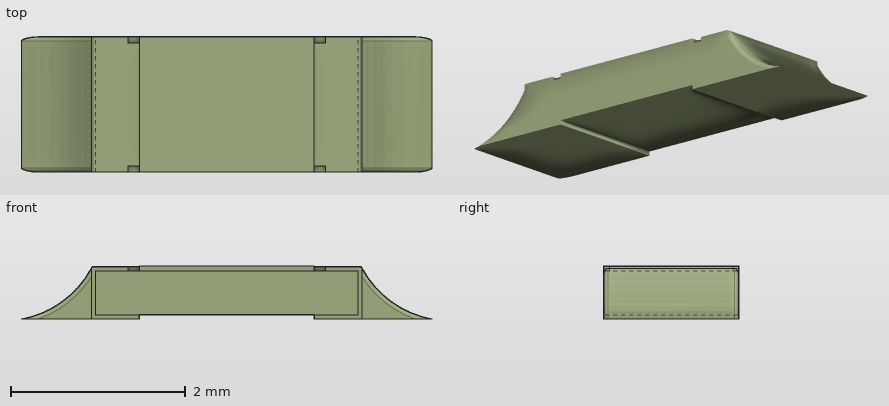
import cadquery as cq

chip_length = 3.1
chip_width = 1.55
chip_height = 0.6
plating = 0.05
terminal_length = 0.55
terminal_edge_radius = 0.02
notch_length = 0.13
notch_depth = 0.07

coating_rise = 0.01

solder_length = 0.8
solder_sag = 0.112
solder_edge_radius = 0.05

core_length = chip_length - 2 * plating
core_height = chip_height - 2 * plating
core_top = chip_height - plating
coating_length = chip_length - 2 * terminal_length
coating_thickness = plating + coating_rise
solder_height = chip_height - terminal_edge_radius


def block(length, width, height, x, z, y=0):
    """Box centred at x, y with its underside at z."""
    box = cq.Workplane("XY").box(length, width, height, centered=(True, True, False))
    return box.translate((x, y, z))


def make_core():
    return block(core_length, chip_width, core_height, 0, plating)


def make_coating():
    return block(coating_length, chip_width, coating_thickness, 0, core_top)


def make_terminal(side):
    """C-shaped end cap; side is -1 for the -X end and +1 for the +X end."""
    cap_x = side * (chip_length - terminal_length) / 2
    cap = block(terminal_length, chip_width, chip_height, cap_x, 0)
    outer_face = ">X" if side > 0 else "<X"
    cap = cap.faces(outer_face).edges(">Z").fillet(terminal_edge_radius)
    cap = cap.cut(make_core())
    notch_x = side * (coating_length + notch_length) / 2
    notch_y = (chip_width - notch_depth) / 2
    for y in (-notch_y, notch_y):
        cap = cap.cut(block(notch_length, notch_depth, plating, notch_x, core_top, y))
    return cap


def make_solder(side):
    """Wedge with a concave top, lying against the terminal's end face."""
    wall_x = chip_length / 2
    toe_x = wall_x + solder_length
    slope_length = (solder_length**2 + solder_height**2) ** 0.5
    arc_x = (wall_x + toe_x) / 2 - solder_sag * solder_height / slope_length
    arc_z = solder_height / 2 - solder_sag * solder_length / slope_length
    wedge = (
        cq.Workplane("XZ")
        .moveTo(side * wall_x, 0)
        .lineTo(side * toe_x, 0)
        .threePointArc((side * arc_x, arc_z), (side * wall_x, solder_height))
        .close()
        .extrude(chip_width / 2, both=True)
    )
    return wedge.edges("%CIRCLE").fillet(solder_edge_radius)


core = make_core()
coating = make_coating()
terminals = [make_terminal(side) for side in (-1, 1)]
solders = [make_solder(side) for side in (-1, 1)]

end_bodies = [body.val() for body in terminals + solders]
result = cq.Compound.makeCompound([core.val(), coating.val(), *end_bodies])